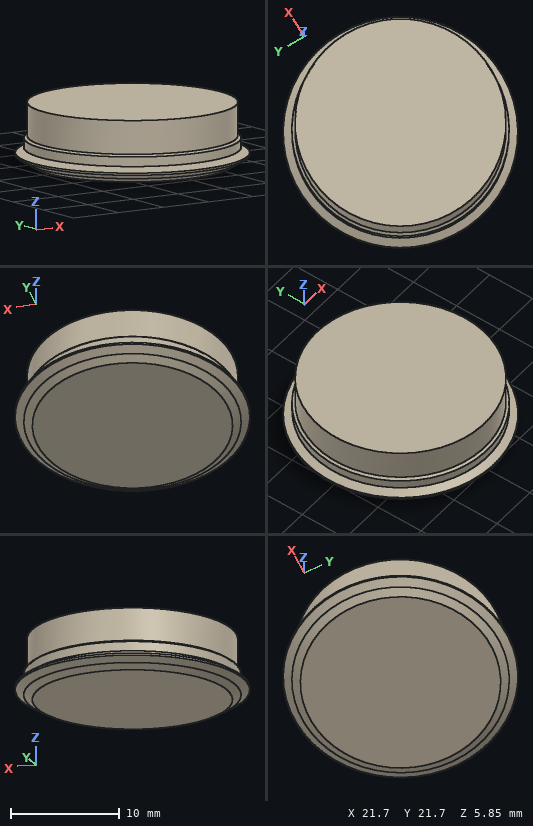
import cadquery as cq
import math

flange_diameter = 21.7
collar_diameter = 20.07
crown_diameter = 19.49
total_height = 5.85
base_chamfer_height = 0.45
rim_height = 0.2
shoulder_bottom = 2.5
shoulder_top = 2.7
cone_angle = 30.0

flange_radius = flange_diameter / 2
collar_radius = collar_diameter / 2
crown_radius = crown_diameter / 2
cone_slope = math.tan(math.radians(cone_angle))
base_radius = collar_radius - base_chamfer_height / cone_slope
ring_cone_height = (flange_radius - collar_radius) * cone_slope
rim_bottom = base_chamfer_height + ring_cone_height
rim_top = rim_bottom + rim_height
ring_top = rim_top + ring_cone_height


def revolve_profile(points):
    """Revolve a closed outline of (radius, height) points about the Z axis."""
    outline = cq.Workplane("XZ").polyline(points).close()
    return outline.revolve(360, (0, 0, 0), (0, 1, 0))


def make_plug():
    """Solid stepped plug with a coned foot and a coned shoulder."""
    return revolve_profile([
        (0, 0),
        (base_radius, 0),
        (collar_radius, base_chamfer_height),
        (collar_radius, shoulder_bottom),
        (crown_radius, shoulder_top),
        (crown_radius, total_height),
        (0, total_height),
    ])


def make_flange_ring():
    """Ring around the collar, coned on both faces, continuing the plug's foot cone."""
    return revolve_profile([
        (collar_radius, base_chamfer_height),
        (flange_radius, rim_bottom),
        (flange_radius, rim_top),
        (collar_radius, ring_top),
    ])


plug = make_plug()
flange_ring = make_flange_ring()

result = cq.Compound.makeCompound([plug.val(), flange_ring.val()])